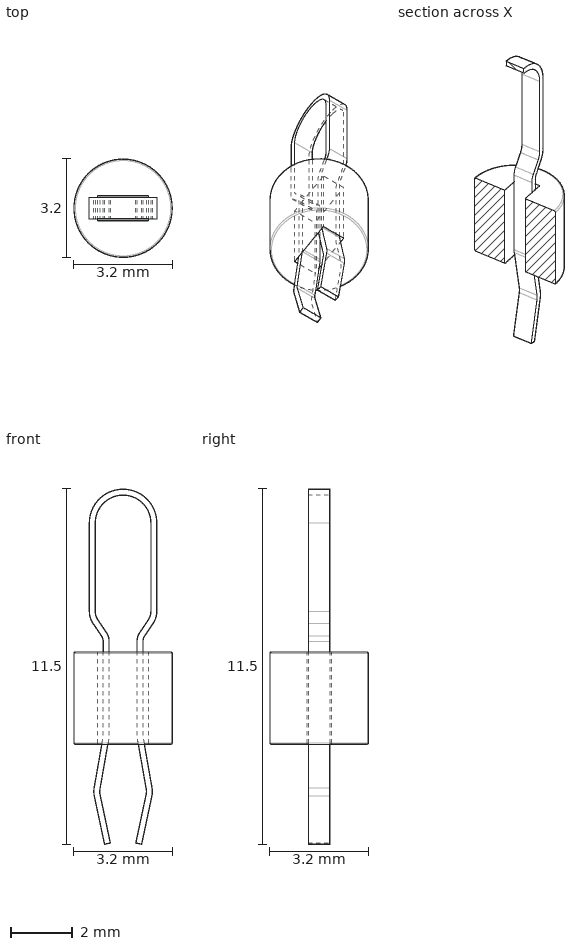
import cadquery as cq
import math

HOUSING_DIAMETER = 3.2
HOUSING_HEIGHT = 3.0
RIM_ROUNDING = 0.05
SLOT_LENGTH = 1.65
SLOT_WIDTH = 0.8

STRIP_THICKNESS = 0.2
STRIP_WIDTH = 0.7
HALF_THICKNESS = STRIP_THICKNESS / 2
LOOP_WIDTH = 2.2
LOOP_TOP = 8.29
LOOP_RADIUS = (LOOP_WIDTH - STRIP_THICKNESS) / 2

WIDE_BEND_RADIUS = 0.5 + HALF_THICKNESS
TIGHT_BEND_RADIUS = 0.3 + HALF_THICKNESS

APEX_SLOPE = 90.0
SHOULDER_SLOPE = 34.0
UPPER_LEG_SLOPE = 10.0
LOWER_LEG_SLOPE = 12.0

LOOP_SIDE_END = 4.32
SHOULDER_END = 3.57
NECK_END = 0.3
UPPER_LEG_END = -1.43
LEG_LOWEST_CORNER = -3.25
TIP_MIDDLE = LEG_LOWEST_CORNER + HALF_THICKNESS * math.sin(math.radians(LOWER_LEG_SLOPE))


def make_housing():
    slot = cq.Workplane("XY").box(
        SLOT_LENGTH, SLOT_WIDTH, HOUSING_HEIGHT, centered=(True, True, False)
    )
    bead = cq.Workplane("XY").circle(HOUSING_DIAMETER / 2).extrude(HOUSING_HEIGHT)
    return bead.edges("%CIRCLE").fillet(RIM_ROUNDING).cut(slot)


def point_along(point, slope, distance):
    """Move down from a point; a positive slope leans outward, to +X."""
    angle = math.radians(slope)
    return (point[0] + distance * math.sin(angle), point[1] - distance * math.cos(angle))


def strip_half_path():
    """Middle line of the +X half of the strip in XZ, from the loop's apex to the leg tip."""
    point = (0, LOOP_TOP - HALF_THICKNESS)
    path = cq.Workplane("XZ").moveTo(*point)
    slope = APEX_SLOPE

    steps = [
        (LOOP_RADIUS, 0.0, LOOP_SIDE_END),
        (WIDE_BEND_RADIUS, -SHOULDER_SLOPE, SHOULDER_END),
        (TIGHT_BEND_RADIUS, 0.0, NECK_END),
        (WIDE_BEND_RADIUS, UPPER_LEG_SLOPE, UPPER_LEG_END),
        (WIDE_BEND_RADIUS, -LOWER_LEG_SLOPE, TIP_MIDDLE),
    ]
    for radius, new_slope, end_height in steps:
        turn = math.radians(new_slope - slope)
        chord = 2 * radius * math.sin(abs(turn) / 2)
        point = point_along(point, (slope + new_slope) / 2, chord)
        path = path.radiusArc(point, math.copysign(radius, -turn))
        slope = new_slope

        drop = point[1] - end_height
        point = point_along(point, slope, drop / math.cos(math.radians(slope)))
        path = path.lineTo(*point)
    return path


def make_terminal():
    section = cq.Workplane("YZ").center(0, LOOP_TOP - HALF_THICKNESS).rect(STRIP_WIDTH, STRIP_THICKNESS)
    half = section.sweep(strip_half_path())
    return half.union(half.mirror("YZ"))


housing = make_housing().solids()
terminal = make_terminal().solids()

result = cq.Compound.makeCompound([housing.val(), terminal.val()])